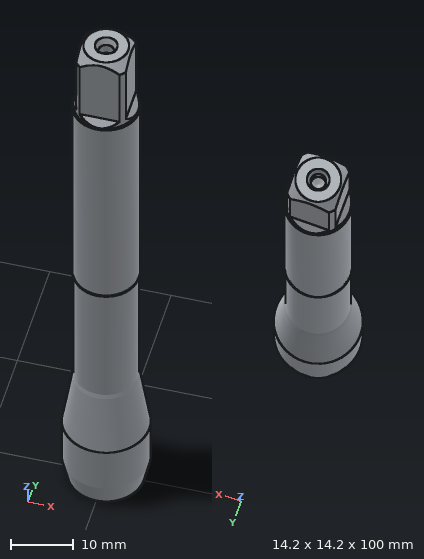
import cadquery as cq
import math

total_length = 100.0

head_diameter = 14.2
lead_end_diameter = 12.4
lead_length = 4.0
head_length = 12.4

neck_diameter = 10.5
shank_diameter = 10.9
cone_top = 23.1
neck_bottom = 23.9
neck_top = 46.9
shank_bottom = 47.4
shank_top = 86.0

square_width = 8.2
square_corner_diameter = 10.5
end_face_diameter = 7.3
end_chamfer_height = 1.7
runout_height = (shank_diameter - square_width) / 2

hole_diameter = 2.5
hole_mouth_diameter = 3.6
countersink_depth = 1.2
hole_depth = 3.0
drill_point_angle = 120.0


def revolve_profile(points):
    """Turn a closed (radius, height) outline about the Z axis."""
    return cq.Workplane("XZ").polyline(points).close().revolve(360, (0, 0, 0), (0, 1, 0))


def make_head():
    return revolve_profile([
        (0, 0),
        (lead_end_diameter / 2, 0),
        (head_diameter / 2, lead_length),
        (head_diameter / 2, head_length),
        (0, head_length),
    ])


def make_turned_shank():
    corner_radius = square_corner_diameter / 2
    shoulder_chamfer = shank_diameter / 2 - corner_radius
    return revolve_profile([
        (0, head_length),
        (head_diameter / 2, head_length),
        (shank_diameter / 2, cone_top),
        (neck_diameter / 2, neck_bottom),
        (neck_diameter / 2, neck_top),
        (shank_diameter / 2, shank_bottom),
        (shank_diameter / 2, shank_top),
        (corner_radius, shank_top + shoulder_chamfer),
        (corner_radius, total_length - end_chamfer_height),
        (end_face_diameter / 2, total_length),
        (0, total_length),
    ])


def make_flat_cutter():
    """Material removed to form the flat on the +X side, with its sloping run-out."""
    flat_x = square_width / 2
    outer_x = shank_diameter / 2
    return (
        cq.Workplane("XZ")
        .polyline([
            (flat_x, total_length),
            (flat_x, shank_top + runout_height),
            (outer_x, shank_top),
            (outer_x, total_length),
        ])
        .close()
        .extrude(shank_diameter / 2, both=True)
    )


def make_centre_hole():
    hole_radius = hole_diameter / 2
    point_height = hole_radius / math.tan(math.radians(drill_point_angle / 2))
    hole_bottom = total_length - hole_depth
    return revolve_profile([
        (0, total_length),
        (hole_mouth_diameter / 2, total_length),
        (hole_radius, total_length - countersink_depth),
        (hole_radius, hole_bottom),
        (0, hole_bottom - point_height),
    ])


def make_shank():
    shank = make_turned_shank()
    flat_cutter = make_flat_cutter()
    for side in range(4):
        shank = shank.cut(flat_cutter.rotate((0, 0, 0), (0, 0, 1), side * 90))
    return shank.cut(make_centre_hole())


head = make_head()
shank = make_shank()

result = cq.Compound.makeCompound([head.val(), *shank.solids().vals()])